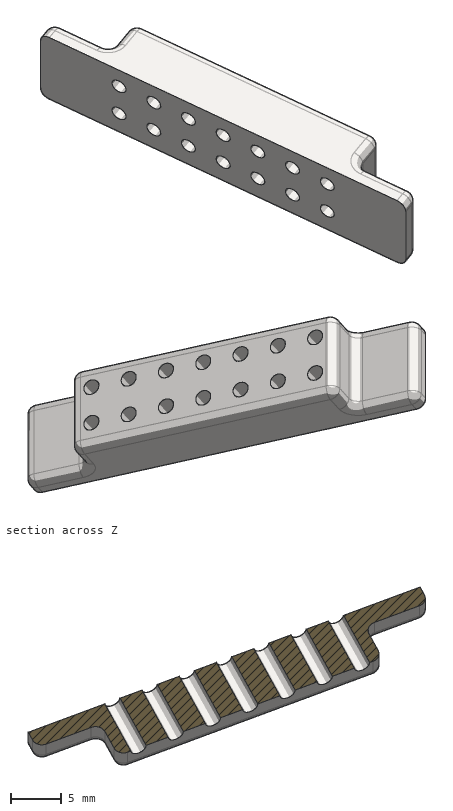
import cadquery as cq

length = 42.65
depth = 6.3
height = 9.25
flange_thickness = 2.1
block_length = 28.75
edge_radius = 1.02

hole_diameter = 1.62
hole_pitch = 4.05
hole_columns = 7
hole_rows = 2
hole_row_offset = 0.15


def make_body():
    """Stepped body with its front face on Y = 0, centred on X and Z."""
    flange = cq.Workplane("XY").box(length, flange_thickness, height, centered=(True, False, True))
    block = cq.Workplane("XY").box(block_length, depth, height, centered=(True, False, True))
    return flange.union(block).clean()


def round_edges(body):
    """Round the inner corners first, then every edge outside the flat front face."""
    inner_corner_x = block_length / 2
    for side in (-1, 1):
        corner = cq.selectors.NearestToPointSelector((side * inner_corner_x, flange_thickness, 0))
        body = body.edges("|Z").edges(corner).fillet(edge_radius)
    outer_edges = body.faces("<X or >X or >Y or <Z or >Z").edges("not <Y")
    return outer_edges.fillet(edge_radius)


def drill_holes(body):
    """Drill the grid of holes through the whole depth."""
    holes = (
        cq.Workplane("XZ")
        .center(0, hole_row_offset)
        .rarray(hole_pitch, hole_pitch, hole_columns, hole_rows)
        .circle(hole_diameter / 2)
        .extrude(-depth)
    )
    return body.cut(holes)


result = drill_holes(round_edges(make_body()))